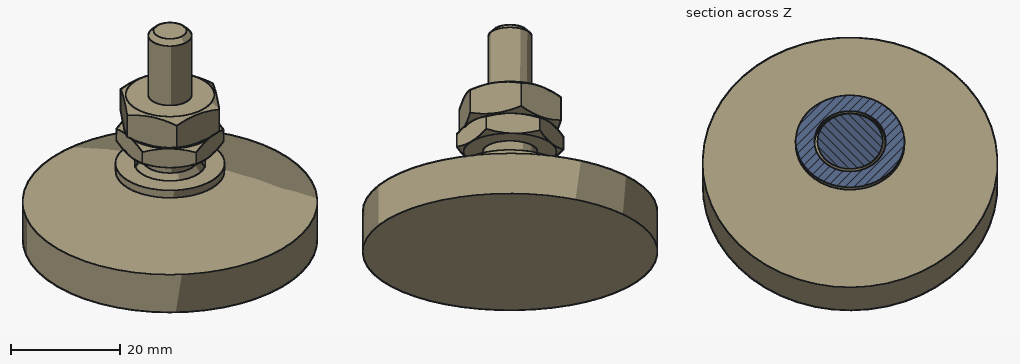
import cadquery as cq
import math

BASE_RIM_TOP = 8.0
CONE_TOP = 14.45
COLLAR_TOP = 16.05
FLARE_TOP = 16.85
SPINDLE_HEX_BOTTOM = 20.0
SPINDLE_HEX_TOP = 24.0
NUT_TOP = 30.5
STUD_TOP = 44.0

BASE_RADIUS = 27.0
COLLAR_RADIUS = 10.0
RECESS_RADIUS = 6.5
RECESS_DEPTH = 1.5
RECESS_FLOOR = COLLAR_TOP - RECESS_DEPTH

FOOT_RADIUS = RECESS_RADIUS
NECK_RADIUS = 5.0
STUD_RADIUS = 4.0
STUD_CHAMFER = 0.95

ACROSS_FLATS = 17.0
HEX_CORNER_RADIUS = ACROSS_FLATS / math.sqrt(3)
HEX_CHAMFER_ANGLE = math.radians(30)
SPINDLE_HEX_FACE_RADIUS = ACROSS_FLATS / 2
SPINDLE_HEX_TURN = 32.7
NUT_FACE_RADIUS = 8.1
NUT_TURN = 10.9


def revolve_profile(points):
    """Turn a closed (radius, height) outline about the Z axis."""
    return cq.Workplane("XZ").polyline(points).close().revolve(360, (0, 0), (0, 1))


def chamfered_hexagon(bottom, top, face_radius, turn):
    """Hexagonal prism whose corners are cut by a cone at both ends."""
    prism = (
        cq.Workplane("XY")
        .workplane(offset=bottom)
        .polygon(6, 2 * HEX_CORNER_RADIUS)
        .extrude(top - bottom)
        .rotate((0, 0, 0), (0, 0, 1), turn)
    )
    drop = (HEX_CORNER_RADIUS - face_radius) * math.tan(HEX_CHAMFER_ANGLE)
    envelope = revolve_profile([
        (0, bottom),
        (face_radius, bottom),
        (HEX_CORNER_RADIUS, bottom + drop),
        (HEX_CORNER_RADIUS, top - drop),
        (face_radius, top),
        (0, top),
    ])
    return prism.intersect(envelope)


def make_base():
    """Round foot plate: straight rim, conical upper side and a raised collar with a round recess."""
    return revolve_profile([
        (0, 0),
        (BASE_RADIUS, 0),
        (BASE_RADIUS, BASE_RIM_TOP),
        (COLLAR_RADIUS, CONE_TOP),
        (COLLAR_RADIUS, COLLAR_TOP),
        (RECESS_RADIUS, COLLAR_TOP),
        (RECESS_RADIUS, RECESS_FLOOR),
        (0, RECESS_FLOOR),
    ])


def make_spindle():
    """Flared neck standing in the collar recess, wrench hexagon and chamfered stud."""
    shaft = revolve_profile([
        (0, RECESS_FLOOR),
        (FOOT_RADIUS, RECESS_FLOOR),
        (NECK_RADIUS, FLARE_TOP),
        (NECK_RADIUS, SPINDLE_HEX_TOP),
        (STUD_RADIUS, SPINDLE_HEX_TOP),
        (STUD_RADIUS, STUD_TOP - STUD_CHAMFER),
        (STUD_RADIUS - STUD_CHAMFER, STUD_TOP),
        (0, STUD_TOP),
    ])
    hexagon = chamfered_hexagon(
        SPINDLE_HEX_BOTTOM, SPINDLE_HEX_TOP, SPINDLE_HEX_FACE_RADIUS, SPINDLE_HEX_TURN
    )
    return shaft.union(hexagon)


def make_nut():
    """Hexagonal lock nut around the stud, seated on the wrench hexagon."""
    blank = chamfered_hexagon(SPINDLE_HEX_TOP, NUT_TOP, NUT_FACE_RADIUS, NUT_TURN)
    bore = (
        cq.Workplane("XY")
        .workplane(offset=SPINDLE_HEX_TOP)
        .circle(STUD_RADIUS)
        .extrude(NUT_TOP - SPINDLE_HEX_TOP)
    )
    return blank.cut(bore)


base = make_base()
spindle = make_spindle()
nut = make_nut()

result = cq.Compound.makeCompound([base.val(), spindle.val(), nut.val()])